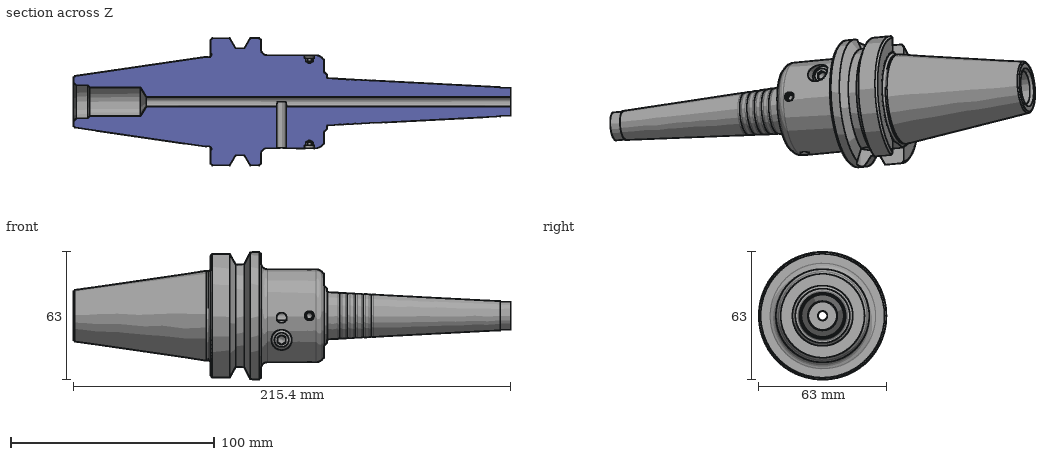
import cadquery as cq
import math


taper_length = 65.4
gauge_radius = 44.45 / 2
taper_slope = 7 / 48
taper_end_radius = gauge_radius - taper_length * taper_slope
taper_end_chamfer = 0.7
relief_radius = 22.0
relief_fillet = 1.5
undercut_depth = 0.5

flange_radius = 63 / 2
flange_start_x = 2.0
flange_end_x = 27.0
flange_chamfer = 1.0
groove_centre_x = 16.6
groove_floor_radius = 53 / 2
groove_floor_half_width = 2.1
groove_flank_angle = 30.0

slot_width = 16.1
slot_floor_z = 22.5
slot_end_x = 23.2

body_radius = 46 / 2
body_end_x = 58.0
body_base_fillet = 3.0
body_end_fillet = 4.0
body_end_arc_angle = 45.0
body_fillet_start_x = 54.0

hub_radius = 14.9
hub_end_x = 59.5
nose_start_x = 60.0
nose_fillet = 0.5
nose_end_x = 150.0
nose_angle = 3.0
tip_radius = 14 / 2
tip_length = 5.2

ring_count = 5
ring_start_x = 64.7
ring_pitch = 3.86
ring_width = 2.0
ring_depth = 0.2

mouth_radius = 19 / 2
pilot_radius = 16.2 / 2
thread_radius = 14 / 2
pilot_depth = 7.0
bore_depth = 33.0
bore_cone_angle = 45.0
drill_half_angle = 59.0
coolant_diameter = 4.5

clamp_hole_diameter = 10.0
clamp_face_diameter = 7.0
clamp_socket_flats = 4.0
clamp_x = 37.1
clamp_offset_z = 11.9
clamp_face_y = 14.0
clamp_face_chamfer = 1.5

balance_hole_diameter = 4.6
balance_socket_flats = 3.0
balance_x = 50.8
balance_count = 4
balance_depth = 1.5

slot_hole_diameter = 4.0
slot_socket_flats = 2.0
slot_hole_x = 7.0
slot_hole_depth = 1.0

side_hole_diameter = 5.0
side_hole_x = 37.1
side_hole_z = -1.0


def tan_deg(angle):
    return math.tan(math.radians(angle))


def nose_radius(x):
    """Radius of the tapered nose, which would reach the tip radius at its end."""
    return tip_radius + (nose_end_x - x) * tan_deg(nose_angle)


def revolve_about_x(profile):
    return profile.close().revolve(360, (0, 0, 0), (1, 0, 0))


def turned_blank():
    relief_end_x = flange_start_x + undercut_depth
    flank_run = tan_deg(groove_flank_angle)
    groove_half_width = groove_floor_half_width + (flange_radius - groove_floor_radius) * flank_run
    arc_centre_radius = body_radius - body_end_fillet

    def end_fillet_point(angle):
        turn = math.radians(angle)
        return (body_fillet_start_x + body_end_fillet * math.sin(turn),
                arc_centre_radius + body_end_fillet * math.cos(turn))

    arc_end_x, arc_end_radius = end_fillet_point(body_end_arc_angle)
    body_face_radius = arc_end_radius - (body_end_x - arc_end_x) * tan_deg(body_end_arc_angle)
    hub_end_radius = hub_radius - (hub_end_x - body_end_x)
    shoulder_x = nose_end_x - tip_length

    profile = (
        cq.Workplane("XY")
        .moveTo(-taper_length, 0)
        .lineTo(-taper_length, taper_end_radius - taper_end_chamfer)
        .lineTo(-taper_length + taper_end_chamfer, taper_end_radius + taper_end_chamfer * taper_slope)
        .lineTo(0, gauge_radius)
        .lineTo(relief_end_x - relief_fillet, relief_radius)
        .radiusArc((relief_end_x, relief_radius + relief_fillet), -relief_fillet)
        .lineTo(flange_start_x, relief_radius + relief_fillet)
        .lineTo(flange_start_x, flange_radius - flange_chamfer)
        .lineTo(flange_start_x + flange_chamfer, flange_radius)
        .lineTo(groove_centre_x - groove_half_width, flange_radius)
        .lineTo(groove_centre_x - groove_floor_half_width, groove_floor_radius)
        .lineTo(groove_centre_x + groove_floor_half_width, groove_floor_radius)
        .lineTo(groove_centre_x + groove_half_width, flange_radius)
        .lineTo(flange_end_x - flange_chamfer, flange_radius)
        .lineTo(flange_end_x, flange_radius - flange_chamfer)
        .lineTo(flange_end_x, body_radius + body_base_fillet)
        .radiusArc((flange_end_x + body_base_fillet, body_radius), -body_base_fillet)
        .lineTo(body_fillet_start_x, body_radius)
        .threePointArc(end_fillet_point(body_end_arc_angle / 2), (arc_end_x, arc_end_radius))
        .lineTo(body_end_x, body_face_radius)
        .lineTo(body_end_x, hub_radius)
        .lineTo(hub_end_x, hub_end_radius)
        .lineTo(hub_end_x, nose_radius(nose_start_x) + nose_fillet)
        .radiusArc((nose_start_x, nose_radius(nose_start_x)), -nose_fillet)
        .lineTo(shoulder_x, nose_radius(shoulder_x))
        .lineTo(shoulder_x, tip_radius)
        .lineTo(nose_end_x, tip_radius)
        .lineTo(nose_end_x, 0)
    )
    return revolve_about_x(profile)


def nose_rings():
    clearance = 1.0
    rings = cq.Workplane("XY")
    for index in range(ring_count):
        start = ring_start_x + index * ring_pitch
        middle = start + ring_width / 2
        end = start + ring_width
        profile = (
            cq.Workplane("XY")
            .moveTo(start, nose_radius(start))
            .lineTo(start, nose_radius(start) + clearance)
            .lineTo(end, nose_radius(end) + clearance)
            .lineTo(end, nose_radius(end))
            .lineTo(middle, nose_radius(middle) - ring_depth)
        )
        rings = rings.add(revolve_about_x(profile))
    return rings.combine()


def axial_bore():
    cone_slope = tan_deg(bore_cone_angle)
    coolant_radius = coolant_diameter / 2
    pilot_end_x = -taper_length + pilot_depth
    bore_end_x = -taper_length + bore_depth
    cone_end_x = bore_end_x + (thread_radius - coolant_radius) / tan_deg(drill_half_angle)
    profile = (
        cq.Workplane("XY")
        .moveTo(-taper_length, 0)
        .lineTo(-taper_length, mouth_radius)
        .lineTo(-taper_length + (mouth_radius - pilot_radius) / cone_slope, pilot_radius)
        .lineTo(pilot_end_x, pilot_radius)
        .lineTo(pilot_end_x + (pilot_radius - thread_radius) / cone_slope, thread_radius)
        .lineTo(bore_end_x, thread_radius)
        .lineTo(cone_end_x, coolant_radius)
        .lineTo(nose_end_x, coolant_radius)
        .lineTo(nose_end_x, 0)
    )
    return revolve_about_x(profile)


def drive_slot():
    """Slot on the +Z side of the flange, closed by a full round."""
    round_centre_x = slot_end_x - slot_width / 2
    height = flange_radius - slot_floor_z
    straight = (
        cq.Workplane("XY", origin=(0, 0, slot_floor_z))
        .moveTo(round_centre_x / 2, 0)
        .rect(round_centre_x, slot_width)
        .extrude(height)
    )
    rounded_end = (
        cq.Workplane("XY", origin=(round_centre_x, 0, slot_floor_z))
        .circle(slot_width / 2)
        .extrude(height)
    )
    return straight.union(rounded_end)


def hex_socket(flats):
    """Socket opening at Z = 0 and going down, with a drill point at its floor."""
    corner_diameter = flats / math.cos(math.pi / 6)
    depth = flats / 2
    point_radius = corner_diameter / 2
    point_height = point_radius / tan_deg(drill_half_angle)
    prism = cq.Workplane("XY").polygon(6, corner_diameter).extrude(-depth)
    point = cq.Solid.makeCone(point_radius, 0, point_height, cq.Vector(0, 0, -depth), cq.Vector(0, 0, -1))
    return prism.union(cq.Workplane("XY").add(point))


def screw_recess(diameter, flats, open_height):
    """Hole above a set screw: the screw face is at Z = 0 and the hole opens upward."""
    hole = cq.Workplane("XY").circle(diameter / 2).extrude(open_height)
    return hole.union(hex_socket(flats))


def clamp_recess():
    """Recess of one clamping screw, on the -Y side."""
    recess = screw_recess(clamp_hole_diameter, clamp_socket_flats, body_radius - clamp_face_y)
    screw_rim = cq.Solid.makeCone(
        clamp_hole_diameter / 2, clamp_face_diameter / 2, clamp_face_chamfer,
        cq.Vector(0, 0, -clamp_face_chamfer)
    )
    chamfer_ring = (
        cq.Workplane("XY")
        .circle(clamp_hole_diameter / 2)
        .extrude(-clamp_face_chamfer)
        .cut(cq.Workplane("XY").add(screw_rim))
    )
    return (
        recess.union(chamfer_ring)
        .rotate((0, 0, 0), (0, 0, 1), 90)
        .rotate((0, 0, 0), (1, 0, 0), 90)
        .translate((clamp_x, -clamp_face_y, -clamp_offset_z))
    )


def balance_recess():
    """Recess of one balancing screw, on the +Z side."""
    return (
        screw_recess(balance_hole_diameter, balance_socket_flats, balance_depth)
        .translate((balance_x, 0, body_radius - balance_depth))
    )


def slot_recess():
    return (
        screw_recess(slot_hole_diameter, slot_socket_flats, slot_hole_depth)
        .translate((slot_hole_x, 0, slot_floor_z - slot_hole_depth))
    )


def side_hole():
    """Cross hole from the -Y side into the axial bore."""
    return (
        cq.Workplane("XZ", origin=(side_hole_x, 0, side_hole_z))
        .circle(side_hole_diameter / 2)
        .extrude(body_radius)
    )


def turned(shape, angle):
    return shape.rotate((0, 0, 0), (1, 0, 0), angle)


result = turned_blank().cut(nose_rings()).cut(axial_bore()).cut(side_hole()).cut(slot_recess())
for half_turn in (0, 180):
    result = result.cut(turned(drive_slot(), half_turn))
    result = result.cut(turned(clamp_recess(), half_turn))
for index in range(balance_count):
    result = result.cut(turned(balance_recess(), index * 360 / balance_count))